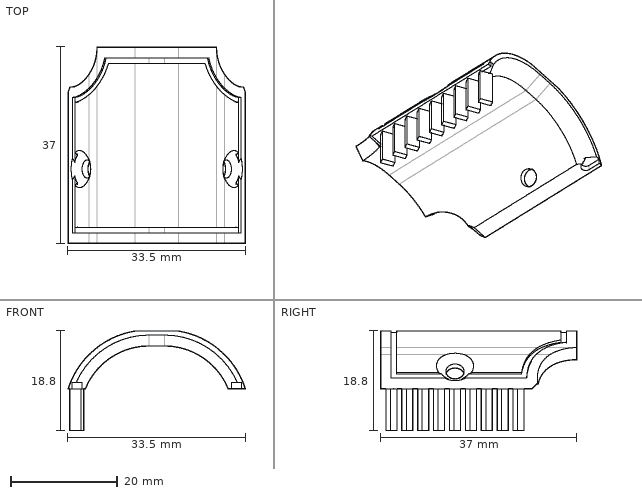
import cadquery as cq
import math

length = 37.0
outer_radius = 16.0
wall = 3.07
inner_radius = outer_radius - wall
arc_center_x = 1.48
arc_center_z = -4.85
crown_height = 10.9

shoulder_angle = 48.6
shoulder_width = 2.0

corner_radius = 7.47
foot_chamfer = 1.0

groove_margin = 2.0
groove_width = 1.05
groove_depth = 0.48

lip_thickness = 1.0
lip_length = 3.45

hole_y = -4.48
hole_angle = 35.0
hole_diameter = 3.4
sink_diameter = 7.0

slot_x = 15.02
slot_width = 1.92
slot_depth = 1.2
slot_length = 2.48

pin_count = 9
pin_pitch = 3.0
pin_width = 2.5
pin_thickness = 1.0
pin_turn = -30.0
pin_length = 7.88
pin_x = -15.1

front_y = -length / 2
rear_y = length / 2
reach = 37.0
cut_depth = 7.4


def foot_x(radius):
    """X at which a side arc of the given radius meets the bottom plane."""
    return arc_center_x + math.sqrt(radius**2 - arc_center_z**2)


def arch_outline(radius, y):
    """Closed arch outline in the XZ plane at the given Y."""
    foot = foot_x(radius)
    top = arc_center_z + radius
    foot_angle = math.asin(-arc_center_z / radius)
    mid_angle = (foot_angle + math.pi / 2) / 2
    mid_x = arc_center_x + radius * math.cos(mid_angle)
    mid_z = arc_center_z + radius * math.sin(mid_angle)
    return (
        cq.Workplane("XZ", origin=(0, y, 0))
        .moveTo(-foot, 0)
        .threePointArc((-mid_x, mid_z), (-arc_center_x, top))
        .lineTo(arc_center_x, top)
        .threePointArc((mid_x, mid_z), (foot, 0))
        .close()
    )


def arch_solid(radius):
    """Solid arch running the whole length."""
    return arch_outline(radius, rear_y).extrude(length)


def both_sides(solid):
    """The given +X side solid together with its mirror image."""
    return solid.union(solid.mirror("YZ"))


def radial_plane(angle, radius, y):
    """Plane facing away from the +X arc centre; its local X runs down the slope, its local Y along Y."""
    c = math.cos(math.radians(angle))
    s = math.sin(math.radians(angle))
    origin = (arc_center_x + radius * c, y, arc_center_z + radius * s)
    return cq.Plane(origin=origin, xDir=(s, 0, -c), normal=(c, 0, s))


shoulder_radius = math.sqrt(outer_radius**2 - (shoulder_width / 2) ** 2)
shoulder = radial_plane(shoulder_angle, shoulder_radius, 0)
foot_distance = shoulder.toLocalCoords(cq.Vector(foot_x(outer_radius), 0, 0)).x
corner_center = corner_radius - shoulder_width / 2


def corner_cutter(offset):
    """Rear corner shape, grown by an offset, on the +X side."""
    radius = corner_radius + offset
    return (
        cq.Workplane(shoulder)
        .moveTo(corner_center - radius, rear_y)
        .radiusArc((corner_center, rear_y - radius), -radius)
        .lineTo(reach, rear_y - radius)
        .lineTo(reach, reach)
        .lineTo(corner_center - radius, reach)
        .close()
        .extrude(cut_depth, both=True)
    )


def panel(offset):
    """Volume over the panel that lies inside the shell's outline by an offset."""
    low_edge = foot_distance - offset
    side = (
        cq.Workplane(shoulder)
        .center(low_edge - reach, 0)
        .rect(2 * reach, length - 2 * offset)
        .extrude(reach, both=True)
        .cut(corner_cutter(offset))
    )
    return side.intersect(side.mirror("YZ"))


def make_arch():
    """Arched wall with its trimmed crown and shoulder flats."""
    crown_trim = cq.Workplane("XY", origin=(0, 0, crown_height)).rect(reach, reach).extrude(reach)
    shoulder_trim = cq.Workplane(shoulder).rect(2 * shoulder_width, length).extrude(shoulder_width)
    arch = arch_solid(outer_radius).cut(arch_solid(inner_radius))
    return arch.cut(crown_trim).cut(both_sides(shoulder_trim))


def lip_cutter():
    """Flare that widens the inside of the arch towards the front face."""
    wide = arch_outline(outer_radius - lip_thickness, front_y).wires().val()
    narrow = arch_outline(inner_radius, front_y + lip_length).wires().val()
    return cq.Workplane(obj=cq.Solid.makeLoft([wide, narrow], True))


def foot_chamfer_cutter():
    """Wedge that bevels the lower edge of a rear corner."""
    corner_y = rear_y - corner_radius
    return (
        cq.Workplane("YZ")
        .moveTo(corner_y - foot_chamfer, 0)
        .lineTo(corner_y, foot_chamfer)
        .lineTo(corner_y + foot_chamfer, 0)
        .close()
        .extrude(reach)
    )


def groove_cutter():
    """Band around the panel on the untrimmed outer arcs, thickened inwards square to the surface."""
    band = panel(groove_margin).cut(panel(groove_margin + groove_width))
    skin = arch_solid(outer_radius).faces("not (|Y or <Z)").vals()
    cutter = cq.Workplane()
    for face in cq.Compound.makeCompound(skin).intersect(band.val()).Faces():
        cutter = cutter.union(cq.Workplane(face.thicken(-groove_depth)))
    return cutter


def screw_hole_cutter():
    """Countersunk through hole on the +X side; the 90 degree sink starts at the outer arc."""
    mouth = sink_diameter / 2
    bore = hole_diameter / 2
    sink_depth = mouth - bore
    through = 2 * wall
    clearance = 0.37
    profile = (
        cq.Workplane(radial_plane(hole_angle, outer_radius, hole_y).rotated((90, 0, 0)))
        .moveTo(0, clearance)
        .lineTo(mouth + clearance, clearance)
        .lineTo(bore, -sink_depth)
        .lineTo(bore, -through)
        .lineTo(0, -through)
        .close()
    )
    return profile.revolve(axisStart=(0, 0), axisEnd=(0, 1))


def slot_cutter():
    """Round-ended slot in the bottom face at the front of the +X wall."""
    end_y = front_y + slot_length
    slot = cq.Workplane("XY").center(slot_x, front_y).rect(slot_width, 2 * slot_length).extrude(slot_depth)
    round_end = cq.Workplane("XY").center(slot_x, end_y).circle(slot_width / 2).extrude(slot_depth)
    return slot.union(round_end)


def make_shell():
    """Complete cover."""
    shell = make_arch().cut(lip_cutter()).cut(groove_cutter())
    for cutter in (corner_cutter(0), foot_chamfer_cutter(), screw_hole_cutter(), slot_cutter()):
        shell = shell.cut(both_sides(cutter))
    return shell


def make_pin(y):
    """One blade hanging from the bottom face."""
    blade = cq.Workplane("XY").rect(pin_width, pin_thickness).extrude(-pin_length)
    return blade.rotate((0, 0, 0), (0, 0, 1), pin_turn).translate((pin_x, y, 0))


shell = make_shell()

pins = []
for index in range(pin_count):
    pin_y = hole_y + (index - (pin_count - 1) / 2) * pin_pitch
    pins.append(make_pin(pin_y).val())

result = cq.Compound.makeCompound([shell.val(), *pins])